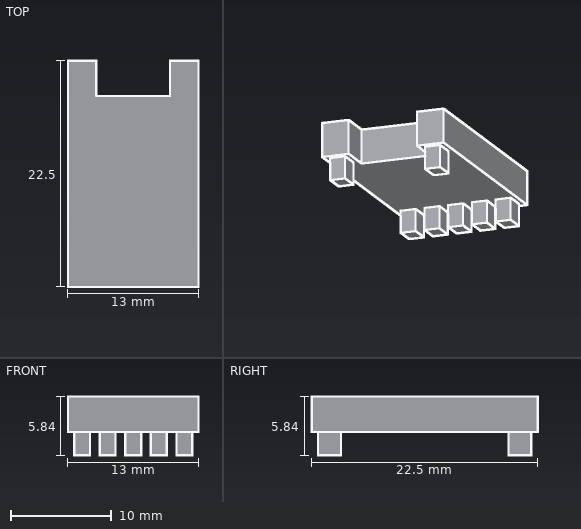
import cadquery as cq

body_width = 13.0
body_length = 22.48
body_height = 3.54

notch_width = 7.3
notch_depth = 3.5

foot_width = 1.6
foot_length = 2.29
foot_height = 2.3
foot_pitch = 2.54
foot_end_inset = 0.635
front_foot_count = 5

row_half_span = foot_pitch * (front_foot_count - 1) / 2
row_y = body_length / 2 - foot_end_inset - foot_length / 2


def make_body():
    """Rectangular block standing on Z = 0, notched through its +Y end."""
    block = cq.Workplane("XY").box(body_width, body_length, body_height, centered=(True, True, False))
    notch = (
        cq.Workplane("XY")
        .center(0, body_length / 2)
        .rect(notch_width, 2 * notch_depth)
        .extrude(body_height)
    )
    return block.cut(notch)


def make_feet(centers):
    """Rectangular feet hanging below Z = 0 at the given centers."""
    return cq.Workplane("XY").pushPoints(centers).rect(foot_width, foot_length).extrude(-foot_height)


front_centers = [(i * foot_pitch - row_half_span, -row_y) for i in range(front_foot_count)]
rear_centers = [(side * row_half_span, row_y) for side in (-1, 1)]

result = make_body().union(make_feet(front_centers + rear_centers))